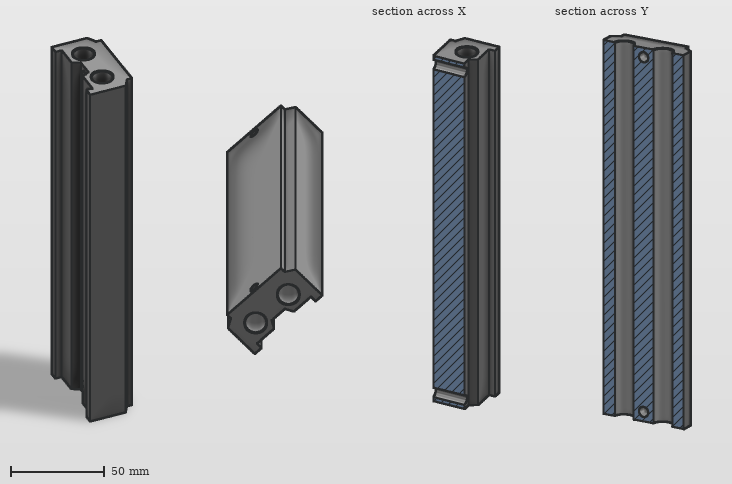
import cadquery as cq
import math

length = 212.0
width = 50.0
depth = 27.0

back_width = 39.9
back_step = 3.0
shoulder_angle = 31.0
foot_height = 3.5
groove_floor = 8.0
groove_floor_width = 9.8
groove_side_angle = 61.0

bore_diameter = 11.5
bore_mouth_diameter = 12.3
bore_spacing = 24.2
bore_from_front = 13.0

mount_diameter = 5.5
mount_from_end = 5.5

front = -depth / 2
back = depth / 2
half_width = width / 2
half_back = back_width / 2
shoulder_drop = (half_width - half_back) * math.tan(math.radians(shoulder_angle))
half_floor = groove_floor_width / 2
groove_flare = (groove_floor - foot_height) / math.tan(math.radians(groove_side_angle))
bore_y = front + bore_from_front


def extruded_profile():
    """Symmetric rail section, extruded along Z."""
    right_half = [
        (0, back),
        (half_back, back),
        (half_back, back - back_step),
        (half_width, back - back_step - shoulder_drop),
        (half_width, front),
        (half_back, front),
        (half_back, front + foot_height),
        (half_floor + groove_flare, front + foot_height),
        (half_floor, front + groove_floor),
        (0, front + groove_floor),
    ]
    section = cq.Workplane("XY").polyline(right_half).mirrorY()
    return section.extrude(length / 2, both=True)


def long_bore(x):
    """Through bore along Z with a 45 degree countersink at both ends."""
    half_length = length / 2
    bore_radius = bore_diameter / 2
    mouth_radius = bore_mouth_diameter / 2
    mouth_depth = mouth_radius - bore_radius
    outline = [
        (0, -half_length),
        (mouth_radius, -half_length),
        (bore_radius, mouth_depth - half_length),
        (bore_radius, half_length - mouth_depth),
        (mouth_radius, half_length),
        (0, half_length),
    ]
    bore = cq.Workplane("XZ").polyline(outline).close().revolve(360, (0, 0), (0, 1))
    return bore.translate((x, bore_y, 0))


def mounting_hole(z):
    """Through hole along Y on the centre line."""
    hole = cq.Workplane("XZ").center(0, z).circle(mount_diameter / 2)
    return hole.extrude(depth, both=True)


result = extruded_profile()
for side in (-1, 1):
    result = result.cut(long_bore(side * bore_spacing / 2))
for end in (-1, 1):
    result = result.cut(mounting_hole(end * (length / 2 - mount_from_end)))